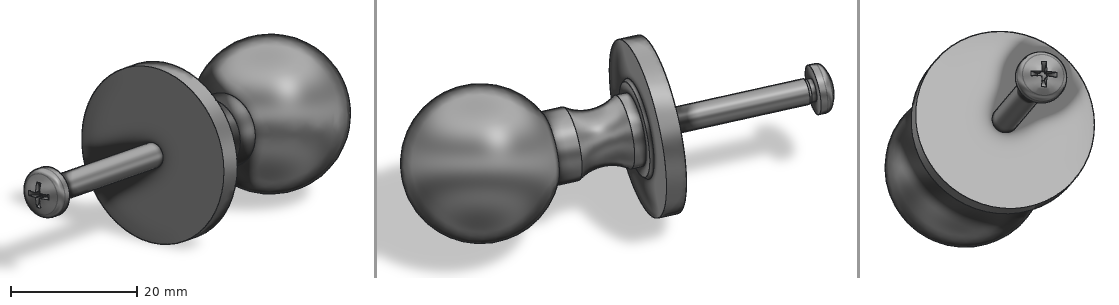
import cadquery as cq


flange_radius = 29.0 / 2
flange_thickness = 3.35
step_radius = 8.2
step_height = 0.6
step_edge_size = 0.4
stem_radius = 6.0
waist_radius = 4.65
lower_collar_end = 5.85
waist_end = 14.6
ball_radius = 12.7
ball_top = 42.3
overall_length = 71.3
full_turn = 360

shank_radius = 4.2 / 2
neck_radius = 3.8 / 2
shank_end = 24.7
neck_start = 25.1
head_start = 25.9
head_radius = 8.05 / 2
head_rim_end = 27.0
dome_start = 28.1
dome_radius = 3.35

screw_end = ball_top - overall_length
dome_height = -screw_end - dome_start

recess_span = 4.85
recess_floor_span = 1.4
recess_width = 0.8
recess_center_width = 1.2
recess_depth = 1.7
core_turn = 45


def make_knob():
    """Ball knob with a waisted stem and a flange, turned about Y."""
    step_top = flange_thickness + step_height
    waist_middle = (lower_collar_end + waist_end) / 2
    ball_center = ball_top - ball_radius
    ball_start = ball_center - (ball_radius**2 - stem_radius**2) ** 0.5
    return (
        cq.Workplane("XY")
        .lineTo(flange_radius, 0)
        .lineTo(flange_radius, flange_thickness)
        .lineTo(step_radius, flange_thickness)
        .lineTo(step_radius - step_edge_size, step_top)
        .lineTo(stem_radius, step_top)
        .lineTo(stem_radius, lower_collar_end)
        .threePointArc((waist_radius, waist_middle), (stem_radius, waist_end))
        .lineTo(stem_radius, ball_start)
        .threePointArc((ball_radius, ball_center), (0, ball_top))
        .close()
        .revolve(full_turn, (0, 0), (0, 1))
    )


def make_recess():
    """Cross-shaped cutter: two tapered blades and a square core set diagonally between them."""
    def blade(turn):
        return (
            cq.Workplane("XY")
            .moveTo(-recess_span / 2, screw_end)
            .lineTo(recess_span / 2, screw_end)
            .lineTo(recess_floor_span / 2, screw_end + recess_depth)
            .lineTo(-recess_floor_span / 2, screw_end + recess_depth)
            .close()
            .extrude(recess_width / 2, both=True)
            .rotate((0, 0, 0), (0, 1, 0), turn)
        )

    core = (
        cq.Workplane("XZ", origin=(0, screw_end + recess_depth, 0))
        .rect(recess_center_width, recess_center_width)
        .extrude(recess_depth)
        .rotate((0, 0, 0), (0, 1, 0), core_turn)
    )
    return blade(0).union(blade(2 * core_turn)).union(core)


def make_screw():
    """Screw with an undercut neck and a domed head, its shank seated on the flange back face."""
    sphere_radius = (dome_radius**2 + dome_height**2) / (2 * dome_height)
    half_chord = dome_radius / 2
    dome_middle = screw_end + sphere_radius - (sphere_radius**2 - half_chord**2) ** 0.5
    body = (
        cq.Workplane("XY")
        .lineTo(shank_radius, 0)
        .lineTo(shank_radius, -shank_end)
        .lineTo(neck_radius, -neck_start)
        .lineTo(neck_radius, -head_start)
        .lineTo(head_radius, -head_start)
        .lineTo(head_radius, -head_rim_end)
        .tangentArcPoint((dome_radius, -dome_start), relative=False)
        .threePointArc((half_chord, dome_middle), (0, screw_end))
        .close()
        .revolve(full_turn, (0, 0), (0, 1))
    )
    return body.cut(make_recess())


knob = make_knob()
screw = make_screw()

result = cq.Compound.makeCompound([knob.val(), screw.val()])